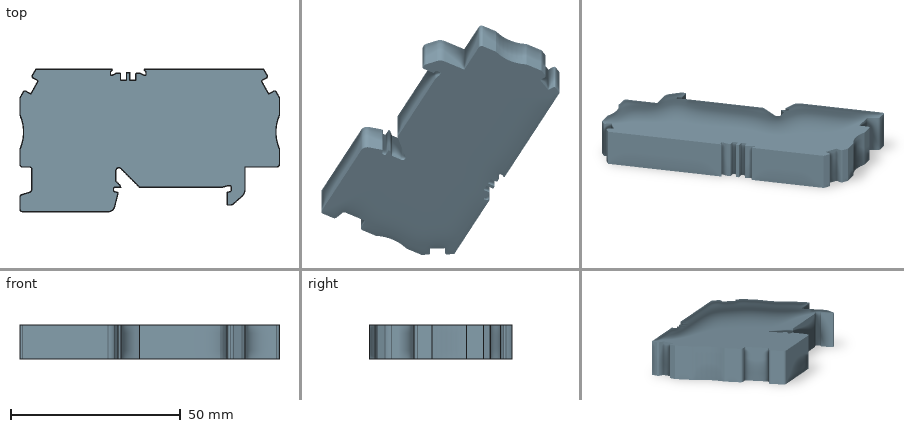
import cadquery as cq
import math

LENGTH = 76.5
HEIGHT = 42.0
THICKNESS = 10.0

BODY_BOTTOM = 13.15
END_TOP = 33.6
RIGHT_CORNER_RADIUS = 1.0
SMALL_RADIUS = 0.45
LEFT_CORNER_RADIUS = 0.85

TOP_EDGE_INSET = 4.75
SHOULDER_RADIUS = 0.5

GRIP_CENTER_Y = 23.5
GRIP_WIDTH = 10.1
GRIP_DEPTH = 1.1

FOOT_SLOT_DEPTH = 3.45
FOOT_SHOULDER_Y = 4.9
FOOT_SHOULDER_RISE = 1.1
FOOT_TOE_X = 27.55
FOOT_SLOT_RADIUS = 0.6
FOOT_TOE_RADIUS = 2.0

SEAT_Y = 7.2
SEAT_START = 35.3
CLAW_GROOVE_X = 27.6
RELIEF_X = 28.3
RELIEF_RADIUS = 0.85
RELIEF_TOP = SEAT_Y + SEAT_START - RELIEF_X

HOOK_INNER_X = 61.05
HOOK_OUTER_X = 66.3
HOOK_BOTTOM = 2.0
HOOK_TIP_X = 62.5
HOOK_GROOVE_X = 62.2
HOOK_GROOVE_TOP = 7.65
HOOK_OUTER_CORNER_Y = 5.35
HOOK_OUTER_RADIUS = 2.7
HOOK_TIP_RADIUS = 1.3
HOOK_SEAT_BLEND = 2.6

FINE_RADIUS = 0.3

MARKER_X = 31.9
MARKER_RIB_WIDTH = 1.0
MARKER_RIB_TOP = 41.0
MARKER_FLOOR = 38.8
MARKER_SLOT_HALF_WIDTH = 2.2
MARKER_LEDGE_Y = 40.85
MARKER_HALF_OPENING = 4.8
MARKER_HALF_UNDERCUT = 5.2
CUT_CLEARANCE = 0.8


def rounded_prism(corners):
    """Extrude a closed outline of (x, y, radius) corners; radius 0 keeps a corner sharp."""
    starts, middles, ends = [], [], []
    for index, (x, y, radius) in enumerate(corners):
        corner = cq.Vector(x, y)
        to_previous = (cq.Vector(*corners[index - 1][:2]) - corner).normalized()
        to_next = (cq.Vector(*corners[(index + 1) % len(corners)][:2]) - corner).normalized()
        half_angle = to_previous.getAngle(to_next) / 2
        setback = radius / math.tan(half_angle)
        bisector = (to_previous + to_next).normalized()
        starts.append(corner + to_previous * setback)
        middles.append(corner + bisector * (radius / math.sin(half_angle) - radius))
        ends.append(corner + to_next * setback)

    outline = cq.Workplane("XY").moveTo(ends[-1].x, ends[-1].y)
    for corner, start, middle, end in zip(corners, starts, middles, ends):
        outline = outline.lineTo(start.x, start.y)
        if corner[2] > 0:
            outline = outline.threePointArc(middle.toTuple()[:2], end.toTuple()[:2])
    return outline.close().extrude(THICKNESS)


def mirrored(corners, axis_x):
    """Mirror corners about a vertical line and reverse them so the outline runs on."""
    return [(2 * axis_x - x, y, radius) for x, y, radius in reversed(corners)]


def housing():
    left_shoulder = [
        (0, END_TOP, 0),
        (1.3, 35.8, SHOULDER_RADIUS),
        (3.2, 34.7, 0),
        (5.35, 38.55, 0),
        (3.4, 39.7, SHOULDER_RADIUS),
        (TOP_EDGE_INSET, HEIGHT, 0),
    ]
    right_shoulder = mirrored(left_shoulder, LENGTH / 2)
    right_end = [
        (LENGTH, BODY_BOTTOM, RIGHT_CORNER_RADIUS),
        (HOOK_OUTER_X, BODY_BOTTOM, 0),
    ]
    hook = [
        (HOOK_OUTER_X, HOOK_OUTER_CORNER_Y, HOOK_OUTER_RADIUS),
        (HOOK_TIP_X, HOOK_BOTTOM, HOOK_TIP_RADIUS),
        (HOOK_INNER_X, HOOK_BOTTOM, FINE_RADIUS),
        (HOOK_INNER_X, 5.7, 0),
        (HOOK_GROOVE_X, 6.05, FINE_RADIUS),
        (HOOK_GROOVE_X, HOOK_GROOVE_TOP, FINE_RADIUS),
        (61.2, HOOK_GROOVE_TOP, FINE_RADIUS),
        (59.5, SEAT_Y, HOOK_SEAT_BLEND),
    ]
    seat_and_relief = [
        (SEAT_START, SEAT_Y, 0),
        (RELIEF_X, RELIEF_TOP, RELIEF_RADIUS),
        (RELIEF_X, 8.95, 0),
    ]
    claw = [
        (29.45, 7.9, 0),
        (29.75, SEAT_Y, 0),
        (CLAW_GROOVE_X, SEAT_Y, FINE_RADIUS),
        (CLAW_GROOVE_X, 6.05, FINE_RADIUS),
        (29.0, 5.65, FINE_RADIUS),
    ]
    foot = [
        (FOOT_TOE_X, 0, FOOT_TOE_RADIUS),
        (0, 0, LEFT_CORNER_RADIUS),
        (0, FOOT_SHOULDER_Y, LEFT_CORNER_RADIUS),
        (FOOT_SLOT_DEPTH, FOOT_SHOULDER_Y + FOOT_SHOULDER_RISE, FOOT_SLOT_RADIUS),
        (FOOT_SLOT_DEPTH, BODY_BOTTOM, SMALL_RADIUS),
        (0, BODY_BOTTOM, LEFT_CORNER_RADIUS),
    ]
    return rounded_prism(
        left_shoulder + right_shoulder + right_end + hook + seat_and_relief + claw + foot
    )


def finger_grips():
    """Two large cylinders whose edges dip into the ends."""
    radius = ((GRIP_WIDTH / 2) ** 2 + GRIP_DEPTH ** 2) / (2 * GRIP_DEPTH)
    offset = radius - GRIP_DEPTH
    centers = [(-offset, GRIP_CENTER_Y), (LENGTH + offset, GRIP_CENTER_Y)]
    return cq.Workplane("XY").pushPoints(centers).circle(radius).extrude(THICKNESS)


def marker_recess():
    """Undercut snap-in recess with a central rib left standing."""
    left_half = [
        (MARKER_X - MARKER_HALF_OPENING, HEIGHT + CUT_CLEARANCE, 0),
        (MARKER_X - MARKER_HALF_OPENING, HEIGHT, 0),
        (MARKER_X - 4.7, 41.7, 0),
        (MARKER_X - MARKER_HALF_UNDERCUT, 41.2, FINE_RADIUS),
        (MARKER_X - MARKER_HALF_UNDERCUT, 40.0, FINE_RADIUS),
        (MARKER_X - 3.45, MARKER_LEDGE_Y, SMALL_RADIUS),
        (MARKER_X - MARKER_SLOT_HALF_WIDTH, MARKER_LEDGE_Y, FINE_RADIUS),
        (MARKER_X - MARKER_SLOT_HALF_WIDTH, MARKER_FLOOR, 0),
    ]
    rib_height = MARKER_RIB_TOP - MARKER_FLOOR
    rib = (
        cq.Workplane("XY")
        .center(MARKER_X, MARKER_FLOOR + rib_height / 2)
        .rect(MARKER_RIB_WIDTH, rib_height)
        .extrude(THICKNESS)
    )
    return rounded_prism(left_half + mirrored(left_half, MARKER_X)).cut(rib)


result = housing().cut(finger_grips()).cut(marker_recess())